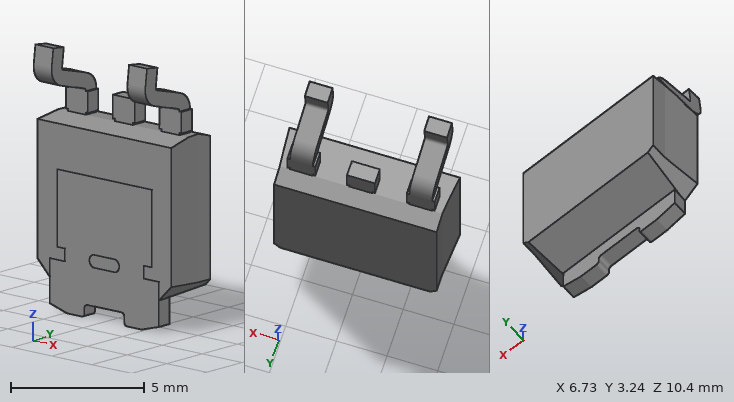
import cadquery as cq
import math


WIDTH = 6.73
DEPTH = 3.24
HEIGHT = 10.42

HOUSING_DEPTH = 2.4
HOUSING_REAR_WIDTH = 6.42
HOUSING_TOP = 7.49
TOP_BEVEL_DROP = 0.2
HOUSING_FRONT_BOTTOM = 1.26
HOUSING_REAR_BOTTOM = 1.48
CORNER_CUT = 0.64

METAL = 0.6
LEAD_BACK = 1.7
LEAD_FRONT = LEAD_BACK - METAL

SLOT_LENGTH = 1.5
SLOT_HEIGHT = 0.5
TAB_TOP = 5.51
TAB_UPPER_WIDTH = 4.75
TAB_LOWER_WIDTH = 5.5
TAB_NECK_WIDTH = 3.98
TAB_NECK_TOP = 2.5
TAB_NECK_BOTTOM = TAB_NECK_TOP - SLOT_HEIGHT
TAB_TAPER_HEIGHT = 0.25
TAB_FOOT_WIDTH = 3.73
TAB_NOTCH_WIDTH = 2.0
TAB_NOTCH_HEIGHT = 0.5
TAB_NOTCH_RADIUS = 0.15

LEAD_SPACING = 2.35
LEAD_WIDTH = 0.91
SHOULDER_WIDTH = 1.1
SHOULDER_BOTTOM = 7.58
SHOULDER_TOP = 8.41
STUB_TOP = 8.5
BEND_OUTER_RADIUS = 0.73
BEND_INNER_RADIUS = BEND_OUTER_RADIUS - METAL
ARM_RISE = math.radians(15)
TIP_LEAN = math.radians(7)


def shifted(point, direction, distance):
    """Point moved by a distance along a unit direction, both given as (y, z)."""
    return (point[0] + distance * direction[0], point[1] + distance * direction[1])


def block(width, front, back, bottom, top):
    """Box centred on X = 0, given by its Y and Z limits."""
    box = cq.Workplane("XY").box(width, back - front, top - bottom, centered=(True, False, False))
    return box.translate((0, front, bottom))


def make_tab():
    """Flat plate with side notches, a foot notch and an obround slot."""
    right_edge = [
        (TAB_UPPER_WIDTH / 2, TAB_TOP),
        (TAB_UPPER_WIDTH / 2, TAB_NECK_TOP),
        (TAB_NECK_WIDTH / 2, TAB_NECK_TOP),
        (TAB_NECK_WIDTH / 2, TAB_NECK_BOTTOM),
        (TAB_LOWER_WIDTH / 2, TAB_NECK_BOTTOM),
        (TAB_LOWER_WIDTH / 2, TAB_TAPER_HEIGHT),
        (TAB_FOOT_WIDTH / 2, 0),
    ]
    left_edge = [(-x, z) for x, z in reversed(right_edge)]
    plate = cq.Workplane("XZ").polyline(right_edge + left_edge).close().extrude(-METAL)

    plate = plate.cut(block(TAB_NOTCH_WIDTH, 0, METAL, 0, TAB_NOTCH_HEIGHT))
    notch_corners = cq.selectors.BoxSelector(
        (-TAB_FOOT_WIDTH / 2 + TAB_NOTCH_RADIUS, -METAL, -TAB_NOTCH_HEIGHT),
        (TAB_FOOT_WIDTH / 2 - TAB_NOTCH_RADIUS, METAL, 2 * TAB_NOTCH_HEIGHT),
    )
    plate = plate.edges("|Y").edges(notch_corners).fillet(TAB_NOTCH_RADIUS)

    slot_middle = (TAB_NECK_TOP + TAB_NECK_BOTTOM) / 2
    slot = cq.Workplane("XZ").center(0, slot_middle).slot2D(SLOT_LENGTH, SLOT_HEIGHT).extrude(-METAL)
    return plate.cut(slot)


def make_housing(tab):
    """Moulding common to its side profile, plan and front outline, with a recess that fits the tab."""
    bevel_bottom = HOUSING_TOP - TOP_BEVEL_DROP
    side_profile = [
        (0, HOUSING_FRONT_BOTTOM),
        (0, bevel_bottom),
        (LEAD_FRONT, HOUSING_TOP),
        (LEAD_BACK, HOUSING_TOP),
        (HOUSING_DEPTH, bevel_bottom),
        (HOUSING_DEPTH, HOUSING_REAR_BOTTOM),
    ]
    moulding = cq.Workplane("YZ").polyline(side_profile).close().extrude(WIDTH / 2, both=True)

    plan = [
        (WIDTH / 2, 0),
        (HOUSING_REAR_WIDTH / 2, LEAD_BACK),
        (HOUSING_REAR_WIDTH / 2, HOUSING_DEPTH),
        (-HOUSING_REAR_WIDTH / 2, HOUSING_DEPTH),
        (-HOUSING_REAR_WIDTH / 2, LEAD_BACK),
        (-WIDTH / 2, 0),
    ]
    moulding = moulding.intersect(cq.Workplane("XY").polyline(plan).close().extrude(HOUSING_TOP))

    front_outline = [
        (WIDTH / 2, HOUSING_TOP),
        (WIDTH / 2, HOUSING_FRONT_BOTTOM + CORNER_CUT),
        (WIDTH / 2 - CORNER_CUT, HOUSING_FRONT_BOTTOM),
        (CORNER_CUT - WIDTH / 2, HOUSING_FRONT_BOTTOM),
        (-WIDTH / 2, HOUSING_FRONT_BOTTOM + CORNER_CUT),
        (-WIDTH / 2, HOUSING_TOP),
    ]
    moulding = moulding.intersect(cq.Workplane("XZ").polyline(front_outline).close().extrude(-HOUSING_DEPTH))
    return moulding.cut(tab)


def make_bent_strip():
    """Strip that rises from the housing, bends forward along a sloping arm and turns up into the tip."""
    arm_along = (-math.cos(ARM_RISE), math.sin(ARM_RISE))
    arm_up = (math.sin(ARM_RISE), math.cos(ARM_RISE))
    tip_along = (math.sin(TIP_LEAN), math.cos(TIP_LEAN))
    tip_front = (-math.cos(TIP_LEAN), math.sin(TIP_LEAN))

    lower_center = (LEAD_BACK - BEND_OUTER_RADIUS, SHOULDER_TOP)
    upper_center_y = HOUSING_DEPTH - DEPTH + BEND_OUTER_RADIUS
    arm_start = shifted(lower_center, arm_up, BEND_OUTER_RADIUS + BEND_INNER_RADIUS)
    arm_length = (upper_center_y - arm_start[0]) / arm_along[0]
    upper_center = shifted(arm_start, arm_along, arm_length)

    front_bend_end = shifted(upper_center, tip_front, BEND_OUTER_RADIUS)
    rear_bend_end = shifted(upper_center, tip_front, BEND_INNER_RADIUS)
    tip_length = (HEIGHT - front_bend_end[1]) / tip_along[1]

    return (
        cq.Workplane("YZ")
        .moveTo(LEAD_BACK, HOUSING_TOP)
        .lineTo(LEAD_BACK, SHOULDER_TOP)
        .tangentArcPoint(shifted(lower_center, arm_up, BEND_OUTER_RADIUS), relative=False)
        .lineTo(*shifted(upper_center, arm_up, -BEND_INNER_RADIUS))
        .tangentArcPoint(rear_bend_end, relative=False)
        .lineTo(*shifted(rear_bend_end, tip_along, tip_length))
        .lineTo(*shifted(front_bend_end, tip_along, tip_length))
        .lineTo(*front_bend_end)
        .tangentArcPoint(shifted(upper_center, arm_up, -BEND_OUTER_RADIUS), relative=False)
        .lineTo(*shifted(lower_center, arm_up, BEND_INNER_RADIUS))
        .tangentArcPoint((LEAD_FRONT, SHOULDER_TOP), relative=False)
        .lineTo(LEAD_FRONT, HOUSING_TOP)
        .close()
        .extrude(LEAD_WIDTH / 2, both=True)
    )


def make_outer_lead(center_x):
    """Bent lead with a wider shoulder just above the housing."""
    shoulder = block(SHOULDER_WIDTH, LEAD_FRONT, LEAD_BACK, SHOULDER_BOTTOM, SHOULDER_TOP)
    return make_bent_strip().union(shoulder).translate((center_x, 0, 0))


def make_middle_lead():
    """Cropped lead: a narrow neck under a wider stub."""
    neck = block(LEAD_WIDTH, LEAD_FRONT, LEAD_BACK, HOUSING_TOP, SHOULDER_BOTTOM)
    stub = block(SHOULDER_WIDTH, LEAD_FRONT, LEAD_BACK, SHOULDER_BOTTOM, STUB_TOP)
    return neck.union(stub)


tab = make_tab()
housing = make_housing(tab)
middle_lead = make_middle_lead()
outer_leads = [make_outer_lead(side * LEAD_SPACING) for side in (-1, 1)]

bodies = [housing, tab, middle_lead, *outer_leads]
result = cq.Compound.makeCompound([body.solids().val() for body in bodies])